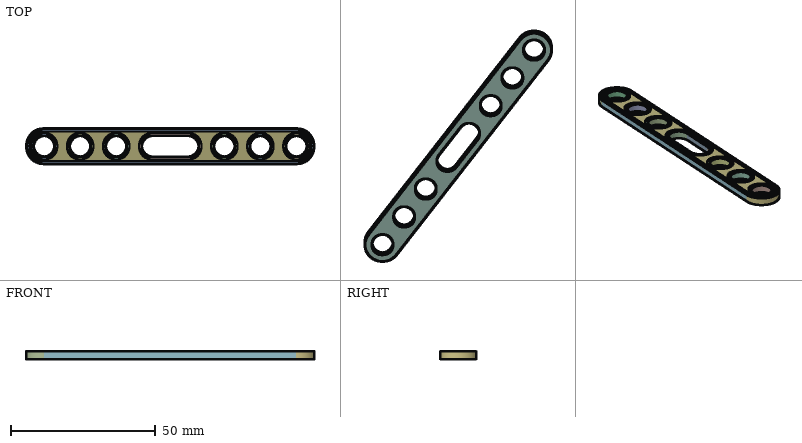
import cadquery as cq

length = 100.0
width = 12.5
thickness = 3.1
edge_chamfer = 0.3

pitch = width
hole_diameter = 7.0
hole_columns = (-3.5, -2.5, -1.5, 1.5, 2.5, 3.5)
hole_points = [(column * pitch, 0) for column in hole_columns]
slot_length = 19.5

rim_width = 1.1
recess_depth = 0.2
collar_diameter = 9.2
collar_width = (collar_diameter - hole_diameter) / 2


def openings(plane, margin, height):
    """Prisms over every hole and the middle slot, grown outward by the margin."""
    holes = plane.pushPoints(hole_points).circle(hole_diameter / 2 + margin).extrude(height)
    slot = plane.slot2D(slot_length + 2 * margin, hole_diameter + 2 * margin).extrude(height)
    return holes.union(slot)


bottom = cq.Workplane("XY")
recess_floor = bottom.workplane(offset=thickness - recess_depth)

bar = bottom.slot2D(length, width).extrude(thickness)
bar = bar.cut(openings(bottom, 0, thickness))
bar = bar.faces("<Z or >Z").edges().chamfer(edge_chamfer)

recess = recess_floor.slot2D(length - 2 * rim_width, width - 2 * rim_width).extrude(recess_depth)
recess = recess.cut(openings(recess_floor, collar_width, recess_depth))

result = bar.cut(recess)